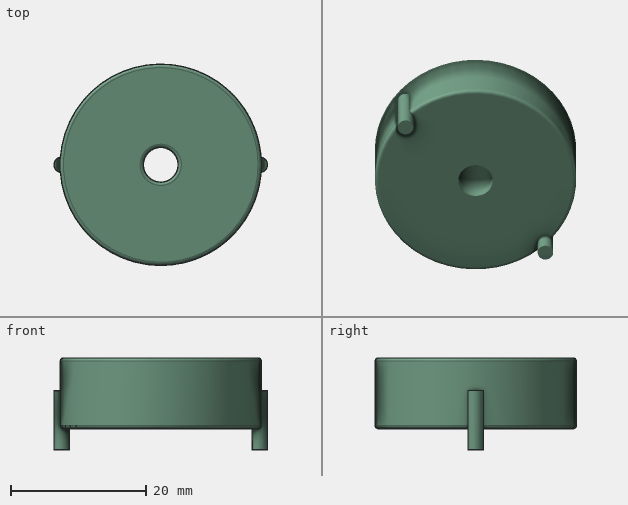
import cadquery as cq

body_diameter = 29.8
body_height = 10.5
edge_radius = 0.5

hole_diameter = 5.1
mouth_radius = 0.5

overall_length = 31.6
pin_diameter = 2.3
pin_length = 8.75
pin_drop = 3.1
pin_offset = (overall_length - pin_diameter) / 2


def make_body():
    """Disc with rounded rims and a central hole."""
    body = cq.Workplane("XY").circle(body_diameter / 2).extrude(body_height)
    body = body.faces("<Z or >Z").edges().fillet(edge_radius)
    body = body.faces(">Z").workplane().hole(hole_diameter)
    return body.faces(">Z").edges(cq.selectors.RadiusNthSelector(0)).fillet(mouth_radius)


def make_pin(x):
    """Vertical round pin centred at the given X."""
    pin_base = cq.Workplane("XY").workplane(offset=-pin_drop)
    return pin_base.center(x, 0).circle(pin_diameter / 2).extrude(pin_length)


result = make_body()
for side in (-1, 1):
    result = result.union(make_pin(side * pin_offset))